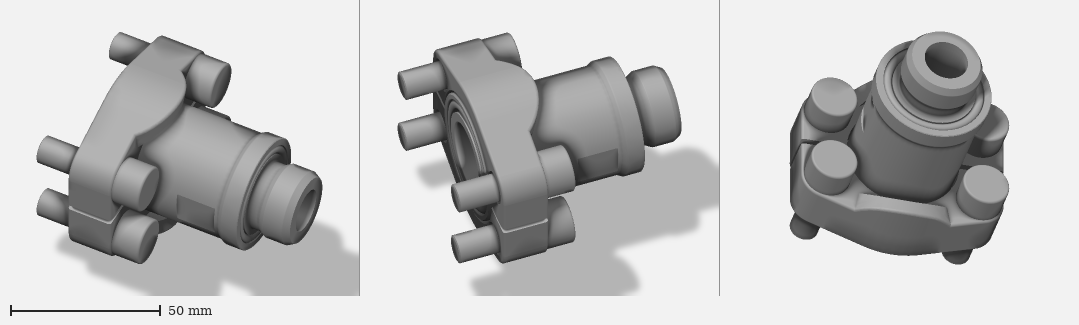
import cadquery as cq
import math

TOTAL_LENGTH = 85.5

SHANK_LENGTH = 30.0
SHANK_DIA = 9.75
SCREW_HEAD_LENGTH = 10.0
SCREW_HEAD_DIA = 16.0
SCREW_HEAD_ROUND = 0.8
TIP_CHAMFER_LENGTH = 0.3
TIP_CHAMFER_DEPTH = 0.6
SCREW_SPACING_Y = 52.5
SCREW_SPACING_Z = 26.2

FLANGE_WIDTH = 70.0
FLANGE_HEIGHT = 59.0
FLANGE_THICKNESS = 16.0
FLANGE_GAP = 1.9
FLANGE_EDGE_ROUND = 0.9
FLANGE_BORE_DIA = 39.0
SCREW_HOLE_DIA = 10.5
SCREW_HOLE_CHAMFER = 0.6
HEAD_RECESS_DIA = 45.3
HEAD_RECESS_CHAMFER = 0.5
FLANGE_BACK_X = SHANK_LENGTH
FLANGE_FRONT_X = FLANGE_BACK_X - FLANGE_THICKNESS

HUMP_CREST_X = 38.05
HUMP_CREST_RADIUS = 22.9
HUMP_DRAFT = math.radians(8)
HUMP_CLEARANCE_DIA = 47.4

HEAD_FACE_X = 13.5
HEAD_LENGTH = 8.0
HEAD_DIA = 44.5
HEAD_FRONT_CHAMFER = 0.5
HEAD_BACK_CHAMFER = 0.25
HEAD_BACK_X = HEAD_FACE_X + HEAD_LENGTH
BARREL_DIA = 37.9
BARREL_ROOT_ROUND = 0.5
COLLAR_DIA = 40.0
COLLAR_FRONT_X = 63.6
COLLAR_BACK_X = 69.7
COLLAR_EDGE_CHAMFER = 0.25
NECK_DIA = 23.8
NECK_ROOT_ROUND = 0.7
STUD_DIA = 26.4
STUD_FRONT_X = 75.9
STUD_CHAMFER_LENGTH = 2.4
CONE_SLOPE = math.tan(math.radians(30))
COLLAR_BLEND = 1.1
STUD_ROOT_BLEND = 1.7
STUD_EDGE_BLEND = 0.5

BORE_DIA = 15.0
BORE_MOUTH_DIA = 24.5
BORE_MOUTH_ROUND = 0.5
BORE_THROAT_ROUND = 1.4
BORE_CONE_LENGTH = 8.3
FLATS_WIDTH = 36.0
FLATS_START_X = 46.4
FLATS_END_X = 60.6

FACE_GROOVE_INNER_DIA = 31.1
FACE_GROOVE_OUTER_DIA = 39.9
FACE_GROOVE_ROUND = 0.4
FACE_SEAL_SECTION = 3.6
STUD_SEAL_INNER_DIA = 28.7
STUD_SEAL_OUTER_DIA = 35.05
STUD_SEAL_SECTION = (STUD_SEAL_OUTER_DIA - STUD_SEAL_INNER_DIA) / 2
STUD_SEAL_PROTRUSION = 0.25


def rounded_outline(corners):
    """Closed XY outline from (x, y, rounding radius) corners."""
    outline = None
    for i, (x, y, radius) in enumerate(corners):
        corner = cq.Vector(x, y)
        before = cq.Vector(*corners[i - 1][:2])
        after = cq.Vector(*corners[(i + 1) % len(corners)][:2])
        to_before = (before - corner).normalized()
        to_after = (after - corner).normalized()
        half_angle = to_before.getAngle(to_after) / 2
        setback = radius / math.tan(half_angle)
        bisector = (to_before + to_after).normalized()
        start = corner + to_before * setback
        outline = outline.lineTo(start.x, start.y) if outline else cq.Workplane("XY").moveTo(start.x, start.y)
        if radius > 0:
            middle = corner + bisector * (radius / math.sin(half_angle) - radius)
            end = corner + to_after * setback
            outline = outline.threePointArc((middle.x, middle.y), (end.x, end.y))
    return outline.close()


def revolved(corners):
    """Solid of revolution about X from (x, radius, rounding radius) corners."""
    return rounded_outline(corners).revolve(360, (0, 0, 0), (1, 0, 0))


def make_seal(outer_dia, section, start_x):
    """O-ring about X that begins at the given station."""
    ring_radius = (outer_dia - section) / 2
    return (
        cq.Workplane("XY")
        .moveTo(start_x + section / 2, ring_radius)
        .circle(section / 2)
        .revolve(360, (0, 0, 0), (1, 0, 0))
    )


def make_adapter():
    face_groove_floor_x = HEAD_FACE_X + FACE_SEAL_SECTION
    stud_groove_floor_x = COLLAR_BACK_X + STUD_SEAL_PROTRUSION - STUD_SEAL_SECTION
    collar_cone_x = COLLAR_FRONT_X - (COLLAR_DIA - BARREL_DIA) / 2 / CONE_SLOPE
    stud_cone_x = STUD_FRONT_X - (STUD_DIA - NECK_DIA) / 2 / CONE_SLOPE
    stud_end_radius = STUD_DIA / 2 - STUD_CHAMFER_LENGTH * CONE_SLOPE

    bore = [
        (TOTAL_LENGTH, BORE_DIA / 2, 0),
        (HEAD_FACE_X + BORE_CONE_LENGTH, BORE_DIA / 2, BORE_THROAT_ROUND),
        (HEAD_FACE_X, BORE_MOUTH_DIA / 2, BORE_MOUTH_ROUND),
    ]
    face_groove = [
        (HEAD_FACE_X, FACE_GROOVE_INNER_DIA / 2, 0),
        (face_groove_floor_x, FACE_GROOVE_INNER_DIA / 2, 0),
        (face_groove_floor_x, FACE_GROOVE_OUTER_DIA / 2, 0),
        (HEAD_FACE_X, FACE_GROOVE_OUTER_DIA / 2, FACE_GROOVE_ROUND),
    ]
    head = [
        (HEAD_FACE_X, HEAD_DIA / 2 - HEAD_FRONT_CHAMFER, 0),
        (HEAD_FACE_X + HEAD_FRONT_CHAMFER, HEAD_DIA / 2, 0),
        (HEAD_BACK_X - HEAD_BACK_CHAMFER, HEAD_DIA / 2, 0),
        (HEAD_BACK_X, HEAD_DIA / 2 - HEAD_BACK_CHAMFER, 0),
    ]
    barrel_and_collar = [
        (HEAD_BACK_X, BARREL_DIA / 2, BARREL_ROOT_ROUND),
        (collar_cone_x, BARREL_DIA / 2, COLLAR_BLEND),
        (COLLAR_FRONT_X, COLLAR_DIA / 2, COLLAR_BLEND),
        (COLLAR_BACK_X - COLLAR_EDGE_CHAMFER, COLLAR_DIA / 2, 0),
        (COLLAR_BACK_X, COLLAR_DIA / 2 - COLLAR_EDGE_CHAMFER, 0),
    ]
    stud_groove = [
        (COLLAR_BACK_X, STUD_SEAL_OUTER_DIA / 2, 0),
        (stud_groove_floor_x, STUD_SEAL_OUTER_DIA / 2, 0),
        (stud_groove_floor_x, STUD_SEAL_INNER_DIA / 2, 0),
        (COLLAR_BACK_X, STUD_SEAL_INNER_DIA / 2, 0),
    ]
    stud = [
        (COLLAR_BACK_X, NECK_DIA / 2, NECK_ROOT_ROUND),
        (stud_cone_x, NECK_DIA / 2, STUD_ROOT_BLEND),
        (STUD_FRONT_X, STUD_DIA / 2, STUD_EDGE_BLEND),
        (TOTAL_LENGTH - STUD_CHAMFER_LENGTH, STUD_DIA / 2, STUD_EDGE_BLEND),
        (TOTAL_LENGTH, stud_end_radius, 0),
    ]
    adapter = revolved(bore + face_groove + head + barrel_and_collar + stud_groove + stud)
    return adapter.cut(make_flat_cutter(1)).cut(make_flat_cutter(-1))


def make_flat_cutter(side):
    """Block that leaves a flat on the +Y (side = 1) or -Y (side = -1) face of the barrel."""
    length = FLATS_END_X - FLATS_START_X
    depth = BARREL_DIA - FLATS_WIDTH
    center_y = side * (FLATS_WIDTH + depth) / 2
    return cq.Workplane("XY").box(length, depth, BARREL_DIA).translate((FLATS_START_X + length / 2, center_y, 0))


def make_half_outline():
    """Upper flange outline: a crown arc about the bore, joined by tangents to arcs about the screws."""
    crown_radius = FLANGE_HEIGHT / 2
    screw_y = SCREW_SPACING_Y / 2
    screw_z = SCREW_SPACING_Z / 2
    corner_radius = FLANGE_WIDTH / 2 - screw_y
    tangent_angle = math.atan2(screw_z, screw_y) + math.acos(
        (crown_radius - corner_radius) / math.hypot(screw_y, screw_z)
    )

    def corner_point(angle):
        return screw_y + corner_radius * math.cos(angle), screw_z + corner_radius * math.sin(angle)

    side_y = FLANGE_WIDTH / 2
    bottom_z = FLANGE_GAP / 2
    middle_y, middle_z = corner_point(tangent_angle / 2)
    end_y, end_z = corner_point(tangent_angle)
    crown_y = crown_radius * math.cos(tangent_angle)
    crown_z = crown_radius * math.sin(tangent_angle)
    return (
        cq.Workplane("YZ", origin=(FLANGE_FRONT_X, 0, 0))
        .moveTo(side_y, bottom_z)
        .lineTo(side_y, screw_z)
        .threePointArc((middle_y, middle_z), (end_y, end_z))
        .lineTo(crown_y, crown_z)
        .threePointArc((0, crown_radius), (-crown_y, crown_z))
        .lineTo(-end_y, end_z)
        .threePointArc((-middle_y, middle_z), (-side_y, screw_z))
        .lineTo(-side_y, bottom_z)
        .close()
    )


def make_back_envelope():
    """Flat plate plus the vertical-axis cone of the hump, which together bound the flange's back."""
    base_radius = HUMP_CREST_RADIUS - FLANGE_HEIGHT / 2 * math.tan(HUMP_DRAFT)
    top_radius = HUMP_CREST_RADIUS + FLANGE_HEIGHT / 2 * math.tan(HUMP_DRAFT)
    hump = (
        cq.Workplane("XZ")
        .polyline([(0, 0), (base_radius, 0), (top_radius, FLANGE_HEIGHT), (0, FLANGE_HEIGHT)])
        .close()
        .revolve(360, (0, 0, 0), (0, 1, 0))
        .translate((HUMP_CREST_X - HUMP_CREST_RADIUS, 0, 0))
    )
    plate = cq.Workplane("XY").box(
        FLANGE_THICKNESS, FLANGE_WIDTH, FLANGE_HEIGHT, centered=(False, True, False)
    )
    return hump.union(plate.translate((FLANGE_FRONT_X, 0, 0)))


def is_on_rim(edge):
    """True for edges near the flange outline rather than at the foot of the hump."""
    middle = edge.Center()
    return abs(middle.y) > FLANGE_WIDTH / 4 or middle.z > FLANGE_HEIGHT / 3


def make_upper_half():
    half = make_half_outline().extrude(2 * FLANGE_THICKNESS).intersect(make_back_envelope())
    half = half.edges("(not |X) and (not <Z)").filter(is_on_rim).fillet(FLANGE_EDGE_ROUND)

    recess_radius = HEAD_RECESS_DIA / 2
    bore_radius = FLANGE_BORE_DIA / 2
    clearance_radius = HUMP_CLEARANCE_DIA / 2
    half = half.cut(
        revolved(
            [
                (FLANGE_FRONT_X, 0, 0),
                (FLANGE_FRONT_X, recess_radius + HEAD_RECESS_CHAMFER, 0),
                (FLANGE_FRONT_X + HEAD_RECESS_CHAMFER, recess_radius, 0),
                (HEAD_BACK_X, recess_radius, 0),
                (HEAD_BACK_X, bore_radius, 0),
                (FLANGE_BACK_X, bore_radius, 0),
                (FLANGE_BACK_X, clearance_radius, 0),
                (HUMP_CREST_X, clearance_radius, 0),
                (HUMP_CREST_X, 0, 0),
            ]
        )
    )
    hole_radius = SCREW_HOLE_DIA / 2
    screw_hole = revolved(
        [
            (FLANGE_FRONT_X, 0, 0),
            (FLANGE_FRONT_X, hole_radius + SCREW_HOLE_CHAMFER, 0),
            (FLANGE_FRONT_X + SCREW_HOLE_CHAMFER, hole_radius, 0),
            (FLANGE_BACK_X, hole_radius, 0),
            (FLANGE_BACK_X, 0, 0),
        ]
    )
    for side in (-1, 1):
        half = half.cut(screw_hole.translate((0, side * SCREW_SPACING_Y / 2, SCREW_SPACING_Z / 2)))
    return half


def make_screw():
    """Cap screw about the X axis, its tip at x = 0."""
    shank_radius = SHANK_DIA / 2
    head_radius = SCREW_HEAD_DIA / 2
    head_end_x = SHANK_LENGTH + SCREW_HEAD_LENGTH
    return revolved(
        [
            (0, 0, 0),
            (0, shank_radius - TIP_CHAMFER_DEPTH, 0),
            (TIP_CHAMFER_LENGTH, shank_radius, 0),
            (SHANK_LENGTH, shank_radius, 0),
            (SHANK_LENGTH, head_radius, 0),
            (head_end_x, head_radius, SCREW_HEAD_ROUND),
            (head_end_x, 0, 0),
        ]
    )


adapter = make_adapter()
face_seal = make_seal(FACE_GROOVE_OUTER_DIA, FACE_SEAL_SECTION, HEAD_FACE_X)
stud_seal = make_seal(
    STUD_SEAL_OUTER_DIA, STUD_SEAL_SECTION, COLLAR_BACK_X + STUD_SEAL_PROTRUSION - STUD_SEAL_SECTION
)
upper_half = make_upper_half()
lower_half = upper_half.mirror("XY")

screws = []
for y_side in (-1, 1):
    for z_side in (-1, 1):
        offset = (0, y_side * SCREW_SPACING_Y / 2, z_side * SCREW_SPACING_Z / 2)
        screws.append(make_screw().translate(offset).val())

result = cq.Compound.makeCompound(
    [adapter.val(), face_seal.val(), stud_seal.val(), upper_half.val(), lower_half.val(), *screws]
)